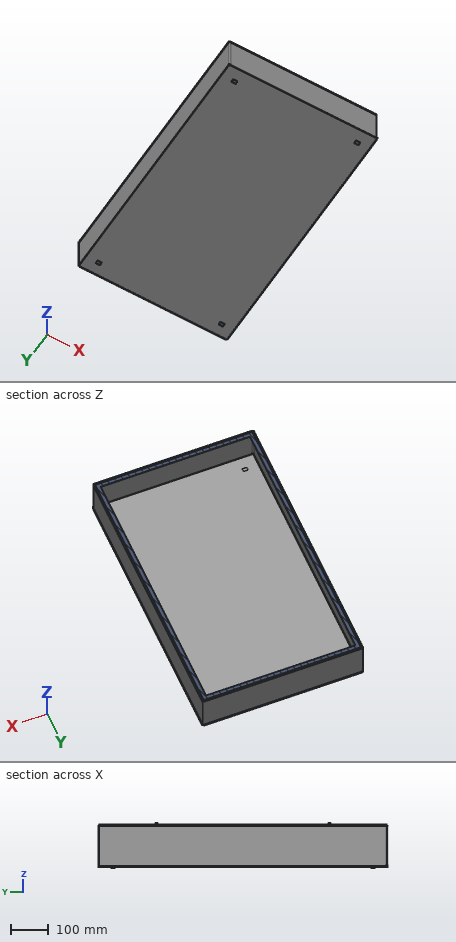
import cadquery as cq
import math

WIDTH = 461.0
LENGTH = 765.0
HEIGHT = 119.0

SHEET = 1.5
CORNER_RADIUS = 5.0
BEVEL_DROP = 4.5
BEVEL_INSET = 2.0
RIM_HEIGHT = 2.0

DOOR_THICKNESS = 3.0
DOOR_CORNER_CHAMFER = 4.5

FRAME_INSET = 17.0
FRAME_HEIGHT = 3.0
FRAME_CLEARANCE = 1.0

FOOT_WIDTH = 13.0
FOOT_LENGTH = 9.0
FOOT_HEIGHT = 2.0
FOOT_SPACING_X = 381.0
FOOT_SPACING_Y = 689.0

BOSS_BASE_DIAMETER = 9.0
BOSS_TOP_DIAMETER = 4.2
BOSS_HEIGHT = 3.0
BOSS_SPACING_X = 444.0
BOSS_SPACING_Y = 457.5
OPENING_WIDTH = 8.5
OPENING_LENGTH = 7.0

DOOR_TOP = FOOT_HEIGHT + DOOR_THICKNESS
RIM_TOP = DOOR_TOP + RIM_HEIGHT
BACK_OUTSIDE = HEIGHT - BOSS_HEIGHT
BACK_INSIDE = BACK_OUTSIDE - SHEET
INNER_WIDTH = WIDTH - 2 * SHEET
INNER_LENGTH = LENGTH - 2 * SHEET
BEVEL_ANGLE = math.degrees(math.atan2(BEVEL_INSET, BEVEL_DROP))


def block(width, length, bottom, top):
    """Box centred on the Z axis between two levels."""
    return cq.Workplane("XY").workplane(offset=bottom).rect(width, length).extrude(top - bottom)


def rounded_block(width, length, bottom, top, radius):
    """Block with rounded front corners and bevelled top edges."""
    body = block(width, length, bottom, top - BEVEL_DROP)
    body = body.faces("<Y").edges("|Z").fillet(radius)
    return body.faces(">Z").wires().toPending().extrude(BEVEL_DROP, taper=BEVEL_ANGLE)


def rectangle_corners(spacing_x, spacing_y):
    """Corners of a rectangle centred on the Z axis."""
    return [(i * spacing_x / 2, j * spacing_y / 2) for i in (-1, 1) for j in (-1, 1)]


def make_shell():
    """Thin shell whose lowest edge keeps square corners."""
    outside = rounded_block(WIDTH, LENGTH, DOOR_TOP, BACK_OUTSIDE, CORNER_RADIUS)
    square_rim = block(WIDTH, LENGTH, DOOR_TOP, RIM_TOP)
    inside = rounded_block(INNER_WIDTH, INNER_LENGTH, DOOR_TOP, BACK_INSIDE, CORNER_RADIUS - SHEET)
    return outside.union(square_rim).cut(inside)


def make_boss(x, y):
    return (
        cq.Workplane("XY", origin=(x, y, BACK_OUTSIDE))
        .circle(BOSS_BASE_DIAMETER / 2)
        .workplane(offset=BOSS_HEIGHT)
        .circle(BOSS_TOP_DIAMETER / 2)
        .loft(ruled=True)
    )


def make_opening(x, y):
    center_y = y - (BOSS_BASE_DIAMETER + OPENING_LENGTH) / 2
    cutter = block(OPENING_WIDTH, OPENING_LENGTH, BACK_INSIDE, BACK_OUTSIDE)
    return cutter.translate((x, center_y, 0))


def make_housing():
    housing = make_shell()
    for x, y in rectangle_corners(BOSS_SPACING_X, BOSS_SPACING_Y):
        housing = housing.union(make_boss(x, y)).cut(make_opening(x, y))
    return housing


def make_frame():
    margin = SHEET + BEVEL_INSET + FRAME_CLEARANCE
    bottom = BACK_INSIDE - FRAME_HEIGHT
    plate = block(WIDTH - 2 * margin, LENGTH - 2 * margin, bottom, BACK_INSIDE)
    window = block(WIDTH - 2 * FRAME_INSET, LENGTH - 2 * FRAME_INSET, bottom, BACK_INSIDE)
    return plate.cut(window)


def make_door():
    door = block(WIDTH, LENGTH, FOOT_HEIGHT, DOOR_TOP)
    return door.edges("|Z").chamfer(DOOR_CORNER_CHAMFER)


def make_foot(x, y):
    return block(FOOT_WIDTH, FOOT_LENGTH, 0, FOOT_HEIGHT).translate((x, y, 0))


housing = make_housing()
frame = make_frame()
door = make_door()
feet = [make_foot(x, y).val() for x, y in rectangle_corners(FOOT_SPACING_X, FOOT_SPACING_Y)]
result = cq.Compound.makeCompound([housing.val(), frame.val(), door.val(), *feet])